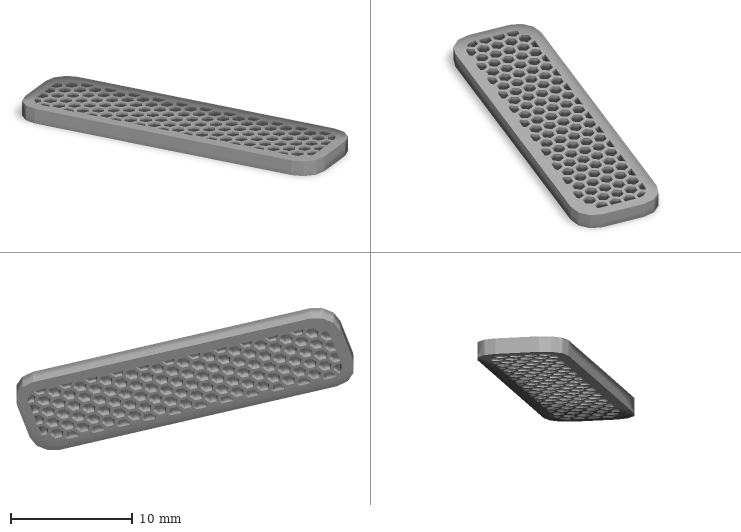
import cadquery as cq
import math

LENGTH = 27.9
WIDTH = 7.73
THICKNESS = 1.3
CORNER_RADIUS = 2.0
CORNER_FACETS = 3

FIELD_LENGTH = 26.0
FIELD_WIDTH = 5.8
FIELD_CORNER_RADIUS = 1.2

HEX_ACROSS_FLATS = 0.98
HEX_ACROSS_CORNERS = HEX_ACROSS_FLATS / math.cos(math.pi / 6)
WALL = 0.265
COLUMN_PITCH = 0.75 * HEX_ACROSS_CORNERS + WALL
ROW_PITCH = HEX_ACROSS_FLATS + WALL
COLUMN_COUNT = 24
ROW_COUNT = 5
FIRST_COLUMN_X = -COLUMN_PITCH * (COLUMN_COUNT - 1) / 2
FIRST_ROW_Y = -FIELD_WIDTH / 2


def faceted_slab(length, width, radius):
    """Rectangular slab whose corners are chains of equal flat facets."""
    points = []
    corner_signs = [(1, 1), (-1, 1), (-1, -1), (1, -1)]
    for corner, (sign_x, sign_y) in enumerate(corner_signs):
        center_x = sign_x * (length / 2 - radius)
        center_y = sign_y * (width / 2 - radius)
        for step in range(CORNER_FACETS + 1):
            angle = math.pi / 2 * (corner + step / CORNER_FACETS)
            x = center_x + radius * math.cos(angle)
            y = center_y + radius * math.sin(angle)
            points.append((x, y))
    return cq.Workplane("XY").polyline(points).close().extrude(THICKNESS)


def center_in_field(x, y):
    """True if the point lies within the rounded outline of the perforated field."""
    if abs(x) > FIELD_LENGTH / 2 or abs(y) > FIELD_WIDTH / 2:
        return False
    past_corner_x = max(0, abs(x) - (FIELD_LENGTH / 2 - FIELD_CORNER_RADIUS))
    past_corner_y = max(0, abs(y) - (FIELD_WIDTH / 2 - FIELD_CORNER_RADIUS))
    return math.hypot(past_corner_x, past_corner_y) <= FIELD_CORNER_RADIUS


def hole_centers():
    """Staggered grid, keeping only the holes centered inside the field."""
    centers = []
    for column in range(COLUMN_COUNT):
        x = FIRST_COLUMN_X + column * COLUMN_PITCH
        stagger = ROW_PITCH / 2 if column % 2 == 0 else 0
        for row in range(ROW_COUNT):
            y = FIRST_ROW_Y + stagger + row * ROW_PITCH
            if center_in_field(x, y):
                centers.append((x, y))
    return centers


plate = faceted_slab(LENGTH, WIDTH, CORNER_RADIUS)
field = faceted_slab(FIELD_LENGTH, FIELD_WIDTH, FIELD_CORNER_RADIUS)
hexagons = (
    cq.Workplane("XY")
    .pushPoints(hole_centers())
    .polygon(6, HEX_ACROSS_CORNERS)
    .extrude(THICKNESS)
)

result = plate.cut(hexagons.intersect(field))